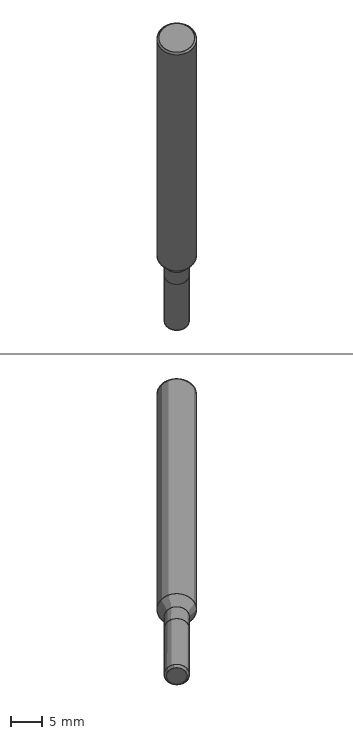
import cadquery as cq
import math

total_length = 76.2
shank_diameter = 6.3
neck_diameter = 4.05
tip_length = 12.7
neck_length = 3.2
taper_half_angle = 30.0
shank_chamfer = 0.3
tip_chamfer = 0.4

shank_radius = shank_diameter / 2
neck_radius = neck_diameter / 2
taper_start = tip_length + neck_length
taper_height = (shank_radius - neck_radius) / math.tan(math.radians(taper_half_angle))
taper_end = taper_start + taper_height


def make_shank():
    """Long shank with a chamfered top, tapering down to a short neck."""
    profile = [
        (0, tip_length),
        (neck_radius, tip_length),
        (neck_radius, taper_start),
        (shank_radius, taper_end),
        (shank_radius, total_length),
        (0, total_length),
    ]
    blank = cq.Workplane("XZ").polyline(profile).close().revolve(360, (0, 0), (0, 1))
    return blank.faces(">Z").chamfer(shank_chamfer)


def make_tip():
    """Cylindrical tip, flush with the neck and chamfered at its free end."""
    blank = cq.Workplane("XY").circle(neck_radius).extrude(tip_length)
    return blank.faces("<Z").chamfer(tip_chamfer)


shank = make_shank()
tip = make_tip()

result = cq.Compound.makeCompound([shank.val(), tip.val()])